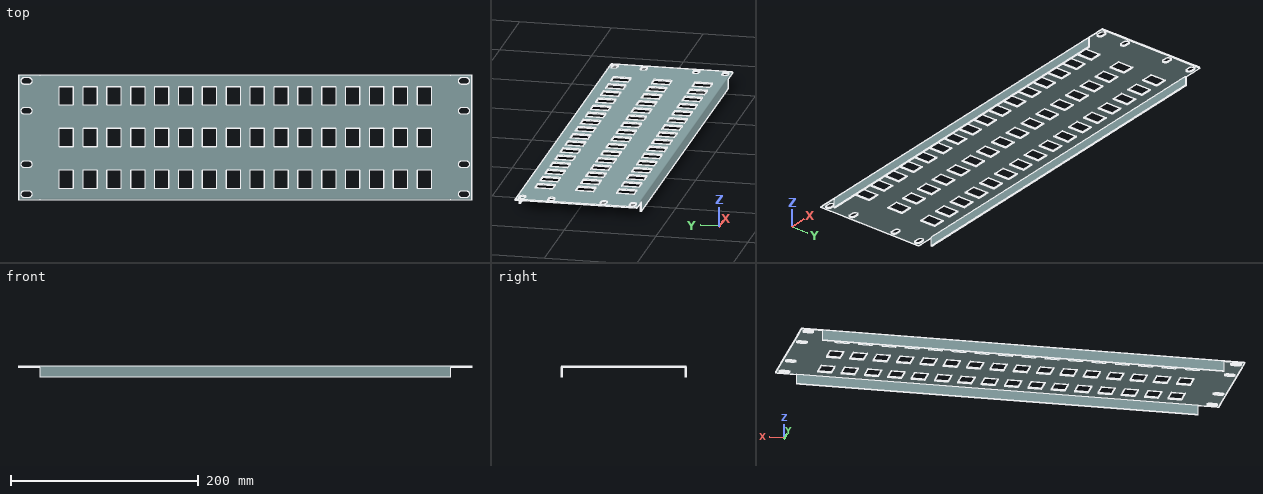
import cadquery as cq
import math

panel_length = 482.5
panel_depth = 133.0
panel_height = 12.0
sheet_thickness = 1.5
bend_radius = sheet_thickness

flange_end_gap = 22.5
flange_length = panel_length - 2 * flange_end_gap

window_columns = 16
window_rows = 3
window_width = 15.0
window_depth = 19.5
outer_column_spacing = 381.3
column_pitch = outer_column_spacing / (window_columns - 1)
row_pitch = 44.5

slot_length = 11.5
slot_width = 6.8
slot_column_spacing = 465.5
inner_slot_spacing = 57.0
outer_slot_spacing = 120.5


def make_plate():
    """Plate with its top face at Z = 0, its long edges rounded down to the bottom face."""
    half_depth = panel_depth / 2
    flat_half_depth = half_depth - bend_radius
    arc_mid_y = flat_half_depth + bend_radius * math.sin(math.pi / 4)
    arc_mid_z = bend_radius * (math.cos(math.pi / 4) - 1)
    cross_section = (
        cq.Workplane("YZ")
        .moveTo(-flat_half_depth, 0)
        .lineTo(flat_half_depth, 0)
        .threePointArc((arc_mid_y, arc_mid_z), (half_depth, -sheet_thickness))
        .lineTo(-half_depth, -sheet_thickness)
        .threePointArc((-arc_mid_y, arc_mid_z), (-flat_half_depth, 0))
        .close()
    )
    return cross_section.extrude(panel_length / 2, both=True)


def make_flanges():
    """Flanges hanging from the plate, flush with its front and back edges."""
    flange_height = panel_height - sheet_thickness
    return (
        cq.Workplane("XY", origin=(0, 0, -sheet_thickness))
        .rarray(5, panel_depth - sheet_thickness, 1, 2)
        .rect(flange_length, sheet_thickness)
        .extrude(-flange_height)
    )


def make_windows():
    """Cutters for the window grid, centered on the plate."""
    return (
        cq.Workplane("XY")
        .rarray(column_pitch, row_pitch, window_columns, window_rows)
        .rect(window_width, window_depth)
        .extrude(-sheet_thickness)
    )


def make_slots(row_spacing):
    """Cutters for four slots placed symmetrically about the plate center."""
    return (
        cq.Workplane("XY")
        .rarray(slot_column_spacing, row_spacing, 2, 2)
        .slot2D(slot_length, slot_width)
        .extrude(-sheet_thickness)
    )


result = make_plate().union(make_flanges()).cut(make_windows())
for row_spacing in (inner_slot_spacing, outer_slot_spacing):
    result = result.cut(make_slots(row_spacing))